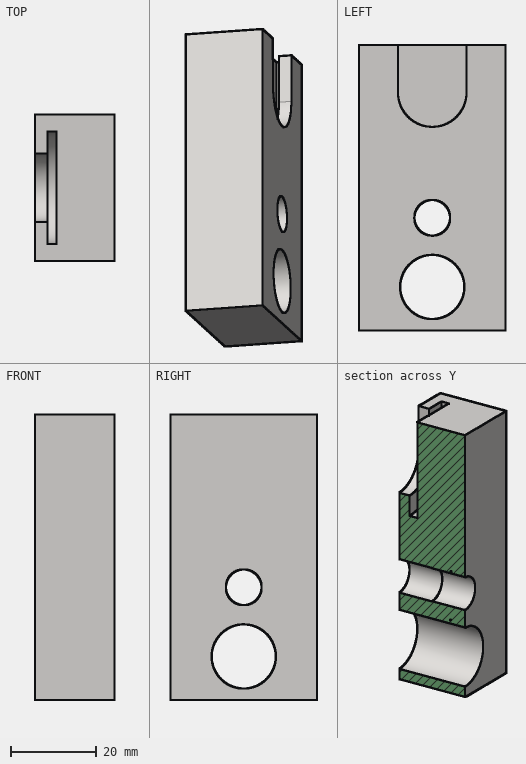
import cadquery as cq

thickness = 18.7
width = 34.5
height = 67.1

wall = 3.0
pocket_thickness = 2.1
pocket_width = 26.5

window_width = 16.1
arc_center_height = height - 11.2

large_hole_diameter = 15.0
large_hole_height = 10.25
small_hole_front_diameter = 8.45
small_hole_rear_diameter = 8.3
small_hole_step_depth = thickness / 2
small_hole_height = 26.5


def round_bottom_slot(slot_width, start_x, depth):
    """Slot running down from the top face and ending in a half circle."""
    radius = slot_width / 2
    return (
        cq.Workplane("YZ", origin=(start_x, 0, 0))
        .moveTo(-radius, height)
        .lineTo(-radius, arc_center_height)
        .threePointArc((0, arc_center_height - radius), (radius, arc_center_height))
        .lineTo(radius, height)
        .close()
        .extrude(depth)
    )


def hole(diameter, center_height, depth):
    """Cylinder running from the front face to the given depth."""
    return (
        cq.Workplane("YZ")
        .center(0, center_height)
        .circle(diameter / 2)
        .extrude(depth)
    )


block = cq.Workplane("XY").box(thickness, width, height, centered=(False, True, False))

result = (
    block
    .cut(round_bottom_slot(pocket_width, wall, pocket_thickness))
    .cut(round_bottom_slot(window_width, 0, wall))
    .cut(hole(large_hole_diameter, large_hole_height, thickness))
    .cut(hole(small_hole_rear_diameter, small_hole_height, thickness))
    .cut(hole(small_hole_front_diameter, small_hole_height, small_hole_step_depth))
)